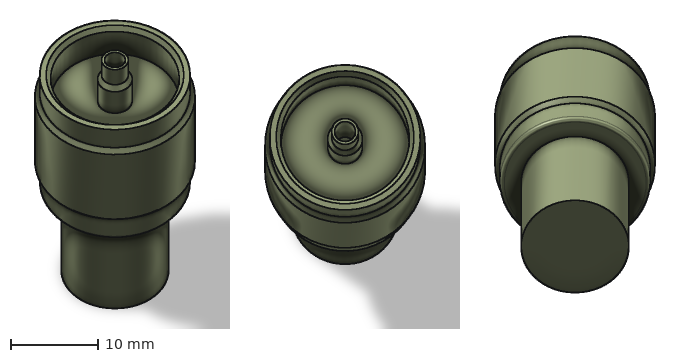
import cadquery as cq

total_height = 35.0

barrel_radius = 6.2
barrel_height = 14.2

collar_radius = 8.65
collar_top = 32.48
collar_bottom_fillet = 0.5
grip_radius = 9.2
grip_bottom = 17.55
grip_top = 29.47
grip_chamfer = grip_radius - collar_radius

cavity_radius = 7.4
cavity_mouth_radius = 7.9
cavity_depth = 4.27
cavity_chamfer = cavity_mouth_radius - cavity_radius
cavity_floor = collar_top - cavity_depth

pin_base_radius = 2.0
pin_tip_radius = 1.55
pin_bore_radius = 1.2
pin_cone_bottom = 31.78
pin_cone_top = 32.48


def cylinder(radius, bottom, top):
    """Solid cylinder about Z between two heights."""
    return cq.Workplane("XY").workplane(offset=bottom).circle(radius).extrude(top - bottom)


def make_sleeve():
    """Collar and chamfered grip band, hollowed by the cavity."""
    collar = cylinder(collar_radius, barrel_height, collar_top)
    collar = collar.faces("<Z").edges().fillet(collar_bottom_fillet)
    grip = cylinder(grip_radius, grip_bottom, grip_top).edges("%CIRCLE").chamfer(grip_chamfer)
    cavity = cylinder(cavity_radius, cavity_floor, collar_top)
    sleeve = collar.union(grip).cut(cavity)
    mouth_edge = cq.selectors.RadiusNthSelector(0)
    return sleeve.faces(">Z").edges(mouth_edge).chamfer(cavity_chamfer)


def make_pin():
    """Pin with a conical step to a thinner tip, bored down to the cavity floor."""
    profile = [
        (pin_bore_radius, cavity_floor),
        (pin_base_radius, cavity_floor),
        (pin_base_radius, pin_cone_bottom),
        (pin_tip_radius, pin_cone_top),
        (pin_tip_radius, total_height),
        (pin_bore_radius, total_height),
    ]
    return cq.Workplane("XZ").polyline(profile).close().revolve(360, (0, 0), (0, 1))


barrel = cylinder(barrel_radius, 0, barrel_height)
result = barrel.union(make_sleeve()).union(make_pin())